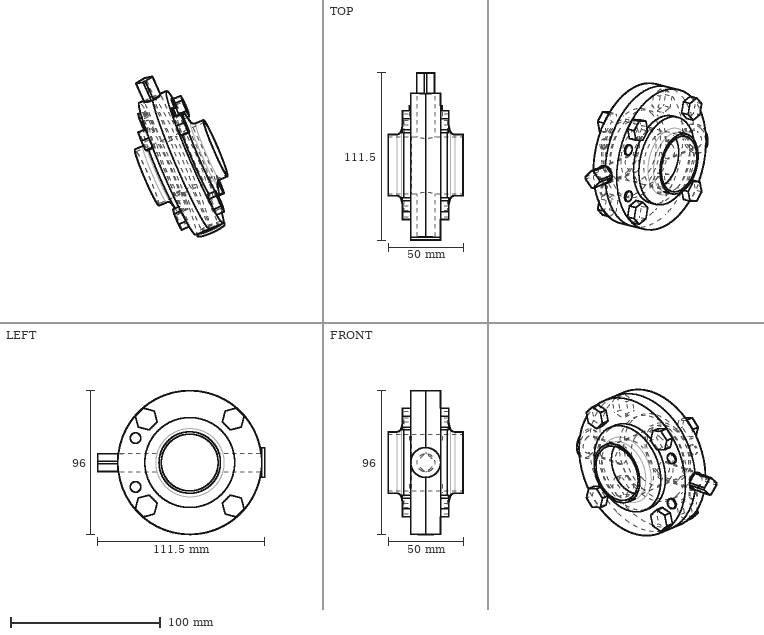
import cadquery as cq
import math


flange_diameter = 96.0
flange_width = 20.0
pipe_length = 50.0
pipe_diameter = 41.0
bore_diameter = 37.9
pipe_straight = 5.7
neck_fillet = 3.0
neck_angle = 14.0
shoulder_diameter = 60.0

bolt_place = 29.0
bolt_across_flats = 13.0
bolt_head_height = 5.6
bolt_turn = 15.0
dowel_diameter = 7.0
dowel_y = 36.1
dowel_z = 16.3
dowel_height = 1.0

disc_width = 19.4
stem_diameter = 12.0
square_across_flats = 9.6
stem_length = 111.5
cap_diameter = 20.0
cap_thickness = 2.0

flange_face = flange_width / 2
flange_radius = flange_diameter / 2
pipe_end = pipe_length / 2
pipe_radius = pipe_diameter / 2
bore_radius = bore_diameter / 2
shoulder_radius = shoulder_diameter / 2
stem_shoulder = flange_radius
square_length = stem_length - cap_thickness - 2 * stem_shoulder


def neck_point(turn):
    """Point on the neck fillet after turning by the given angle (degrees) from the pipe surface."""
    angle = math.radians(turn)
    x = pipe_end - pipe_straight - neck_fillet * math.sin(angle)
    radius = pipe_radius + neck_fillet * (1 - math.cos(angle))
    return x, radius


def turned_shell():
    """Flange, conical shoulder, filleted neck and pipe end, turned about X."""
    fillet_turn = 90 - neck_angle
    fillet_end_x, fillet_end_radius = neck_point(fillet_turn)
    cone_drop = (shoulder_radius - fillet_end_radius) * math.tan(math.radians(neck_angle))
    shoulder_x = fillet_end_x - cone_drop
    return (
        cq.Workplane("XY")
        .moveTo(0, bore_radius)
        .lineTo(0, flange_radius)
        .lineTo(flange_face, flange_radius)
        .lineTo(flange_face, shoulder_radius)
        .lineTo(shoulder_x, shoulder_radius)
        .lineTo(fillet_end_x, fillet_end_radius)
        .threePointArc(neck_point(fillet_turn / 2), neck_point(0))
        .lineTo(pipe_end, pipe_radius)
        .lineTo(pipe_end, bore_radius)
        .close()
        .revolve(360, (0, 0), (1, 0))
    )


def bolt_head(y_side, z_side):
    """Hexagonal head with one flat facing straight out from the pipe axis."""
    across_corners = bolt_across_flats / math.cos(math.pi / 6)
    return (
        cq.Workplane("YZ")
        .polygon(6, across_corners)
        .extrude(bolt_head_height)
        .rotate((0, 0, 0), (1, 0, 0), bolt_turn * y_side * z_side)
        .translate((flange_face, y_side * bolt_place, z_side * bolt_place))
    )


def dowel_end(z_side):
    """Round pin end that stands slightly proud of the flange face."""
    return (
        cq.Workplane("YZ", origin=(flange_face, dowel_y, z_side * dowel_z))
        .circle(dowel_diameter / 2)
        .extrude(dowel_height)
    )


def round_stem():
    """Plain round shaft along Y between the two stem shoulders."""
    return (
        cq.Workplane("XZ")
        .circle(stem_diameter / 2)
        .extrude(stem_shoulder, both=True)
    )


def make_housing_half():
    """Housing half on the +X side of the parting plane."""
    half = turned_shell()
    for z_side in (-1, 1):
        half = half.union(dowel_end(z_side))
        for y_side in (-1, 1):
            half = half.union(bolt_head(y_side, z_side))
    return half.cut(round_stem())


def square_drive():
    """Square end of the stem, corners up and sideways, trimmed to the stem's round outline."""
    start = cq.Workplane("XZ", origin=(0, stem_shoulder, 0))
    square = (
        start.transformed(rotate=(0, 0, 45))
        .rect(square_across_flats, square_across_flats)
        .extrude(-square_length)
    )
    return square.intersect(start.circle(stem_diameter / 2).extrude(-square_length))


def make_disc_and_stem():
    """Valve disc that fills the bore, with its stem, square drive and end cap."""
    disc = (
        cq.Workplane("YZ")
        .circle(bore_radius)
        .extrude(disc_width / 2, both=True)
    )
    cap = (
        cq.Workplane("XZ", origin=(0, -stem_shoulder, 0))
        .circle(cap_diameter / 2)
        .extrude(cap_thickness)
    )
    return disc.union(round_stem()).union(square_drive()).union(cap)


right_half = make_housing_half()
left_half = right_half.mirror("YZ")
disc_and_stem = make_disc_and_stem()

result = cq.Compound.makeCompound([right_half.val(), left_half.val(), disc_and_stem.val()])